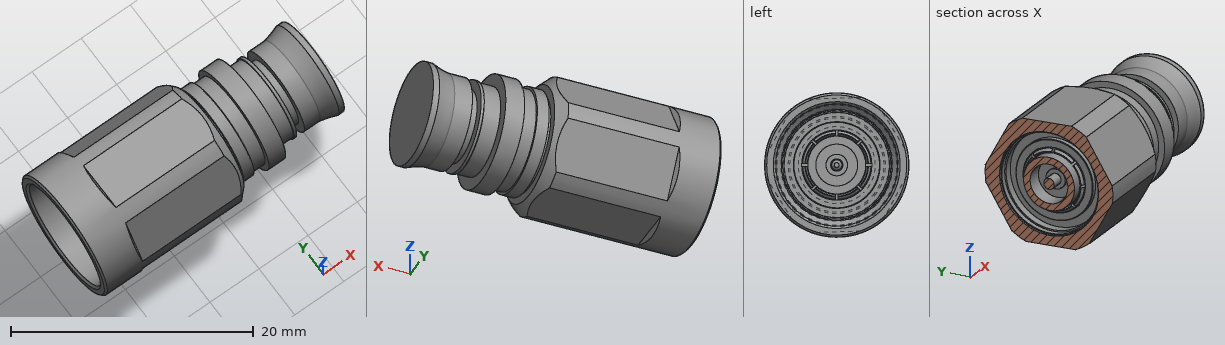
import cadquery as cq


length = 25.4
nut_diameter = 11.9
nut_radius = nut_diameter / 2
nut_end = 14.73
mouth_chamfer = 0.18
rear_chamfer = 0.86
across_flats = 11.0
flat_start = 3.84
runout_length = 0.25
hex_tilt = -1.7
flat_count = 6
cutter_clearance = 0.25

body_steps = [
    (4.32, 15.0),
    (4.62, 16.08),
    (4.4, 17.37),
    (4.95, 19.08),
    (3.89, 20.6),
    (4.01, 20.88),
    (3.18, 21.67),
    (4.01, 23.27),
]
flare_radius = 4.47
flare_end = 24.85
flare_sag = 0.038

mouth_radius = 5.23
mouth_bevel = 0.2
bore_radius = mouth_radius - mouth_bevel
bore_end = 5.54
seat_radius = 4.57
seat_taper_end = bore_end + bore_radius - seat_radius
inner_steps = [
    (seat_radius, 6.35),
    (4.47, 6.85),
    (4.35, 7.62),
]

socket_floor = inner_steps[-1][1]
contact_front = 7.1
contact_radius = 3.58
contact_chamfer = 0.05
finger_groove_radius = 2.9
finger_groove_floor = 9.15

finger_front = 6.85
finger_outer = 2.82
finger_inner = 2.45
tip_outer = 2.62
tip_inner = 2.57
finger_slot = 0.23
finger_slot_count = 8

sleeve_front = 3.55
sleeve_outer = 2.4
sleeve_bore = 1.73
sleeve_floor = 7.62

shoulder_radius = 0.9
shoulder_height = 0.25
pin_front = 5.33
pin_radius = 0.5
pin_nose_radius = 0.43
pin_nose_length = 0.75
pin_tip_radius = 0.2


def disc(radius, start, end):
    """Solid cylinder on the X axis."""
    return cq.Workplane("YZ").workplane(offset=start).circle(radius).extrude(end - start)


def revolve_about_x(profile):
    """Spin a closed outline, drawn as (axial, radial), around the X axis."""
    return profile.close().revolve(360, (0, 0, 0), (1, 0, 0))


def make_outer_body():
    """Nut blank and stepped rear body as one turned shape."""
    profile = (
        cq.Workplane("XY")
        .lineTo(0, nut_radius - mouth_chamfer)
        .lineTo(mouth_chamfer, nut_radius)
        .lineTo(nut_end - rear_chamfer, nut_radius)
        .lineTo(nut_end, nut_radius - rear_chamfer)
    )
    start = nut_end
    for radius, end in body_steps:
        profile = profile.lineTo(start, radius).lineTo(end, radius)
        start = end
    profile = (
        profile.sagittaArc((flare_end, flare_radius), -flare_sag)
        .lineTo(length, flare_radius)
        .lineTo(length, 0)
    )
    return revolve_about_x(profile)


def cut_flats(body):
    """Mill six flats that run out of the nut's rear end."""
    flat_height = across_flats / 2
    runout_slope = runout_length / (nut_radius - flat_height)
    cutter_top = nut_radius + cutter_clearance
    cutter = (
        cq.Workplane("XZ")
        .moveTo(flat_start, flat_height)
        .lineTo(nut_end, flat_height)
        .lineTo(nut_end, cutter_top)
        .lineTo(flat_start - runout_slope * (cutter_top - flat_height), cutter_top)
        .close()
        .extrude(nut_radius, both=True)
    )
    for i in range(flat_count):
        angle = hex_tilt + i * 360 / flat_count
        body = body.cut(cutter.rotate((0, 0, 0), (1, 0, 0), angle))
    return body


def make_socket():
    """Space inside the nut: bevelled mouth, bore, seat taper and inner steps."""
    profile = (
        cq.Workplane("XY")
        .lineTo(0, mouth_radius)
        .lineTo(mouth_bevel, bore_radius)
        .lineTo(bore_end, bore_radius)
    )
    start = seat_taper_end
    for radius, end in inner_steps:
        profile = profile.lineTo(start, radius).lineTo(end, radius)
        start = end
    return revolve_about_x(profile.lineTo(socket_floor, 0))


def make_fingers():
    """Bevel-tipped ring split into spring fingers."""
    ring = revolve_about_x(
        cq.Workplane("XY")
        .moveTo(finger_groove_floor, finger_inner)
        .lineTo(finger_front + tip_inner - finger_inner, finger_inner)
        .lineTo(finger_front, tip_inner)
        .lineTo(finger_front, tip_outer)
        .lineTo(finger_front + finger_outer - tip_outer, finger_outer)
        .lineTo(finger_groove_floor, finger_outer)
    )
    slot = (
        cq.Workplane("XY")
        .box(
            finger_groove_floor - finger_front,
            finger_groove_radius,
            finger_slot,
            centered=(False, False, True),
        )
        .translate((finger_front, 0, 0))
    )
    for i in range(finger_slot_count):
        ring = ring.cut(slot.rotate((0, 0, 0), (1, 0, 0), i * 360 / finger_slot_count))
    return ring


def make_pin():
    """Centre pin with a slimmer nose, a 45 degree tip and a shoulder at its root."""
    tip_length = pin_nose_radius - pin_tip_radius
    shoulder_front = sleeve_floor - shoulder_height
    return revolve_about_x(
        cq.Workplane("XY")
        .moveTo(pin_front, 0)
        .lineTo(pin_front, pin_tip_radius)
        .lineTo(pin_front + tip_length, pin_nose_radius)
        .lineTo(pin_front + pin_nose_length, pin_nose_radius)
        .lineTo(pin_front + pin_nose_length, pin_radius)
        .lineTo(shoulder_front, pin_radius)
        .lineTo(shoulder_front, shoulder_radius)
        .lineTo(sleeve_floor, shoulder_radius)
        .lineTo(sleeve_floor, 0)
    )


result = cut_flats(make_outer_body())
result = result.cut(make_socket())

contact = disc(contact_radius, contact_front, socket_floor)
result = result.union(contact.faces("<X").chamfer(contact_chamfer))
result = result.cut(disc(finger_groove_radius, contact_front, finger_groove_floor))
result = result.union(make_fingers())

result = result.union(disc(sleeve_outer, sleeve_front, finger_groove_floor))
result = result.cut(disc(sleeve_bore, sleeve_front, sleeve_floor))
result = result.union(make_pin())